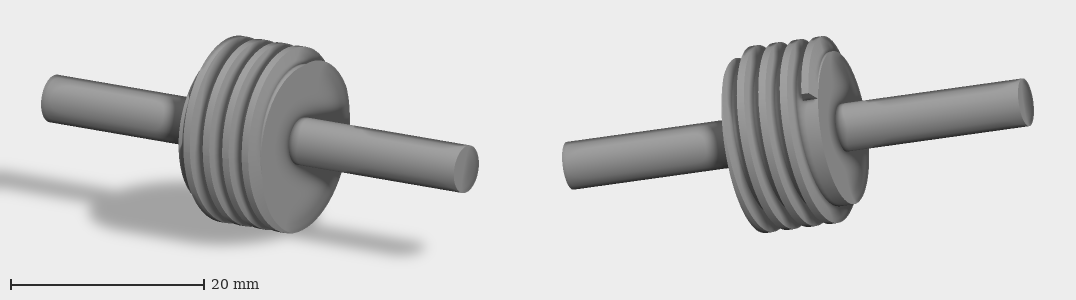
import cadquery as cq
import math

shaft_length = 50.0
shaft_diameter = 5.0
worm_length = 10.0
root_diameter = 16.0

module = 0.75
pressure_angle = math.radians(14.5)
pitch = math.pi * module
addendum = module
dedendum = 1.25 * module
root_radius = root_diameter / 2
pitch_radius = root_radius + dedendum
tip_radius = pitch_radius + addendum
pitch_thickness = pitch / 2
half_turns = 9
root_overlap = 0.1


def half_thickness(radius):
    """Half the thread thickness at a given radius."""
    return pitch_thickness / 2 - (radius - pitch_radius) * math.tan(pressure_angle)


def cylinder(diameter, length):
    """Cylinder along X, centred on the origin."""
    return cq.Workplane("YZ").circle(diameter / 2).extrude(length / 2, both=True)


def make_half_turn():
    """Half a turn of right-hand thread about Z, starting on the +X side."""
    base_radius = root_radius - root_overlap
    base_half = half_thickness(base_radius)
    tip_half = half_thickness(tip_radius)
    path = cq.Wire.makeHelix(pitch, pitch / 2, root_radius)
    return (
        cq.Workplane("XZ")
        .polyline([
            (base_radius, -base_half),
            (tip_radius, -tip_half),
            (tip_radius, tip_half),
            (base_radius, base_half),
        ])
        .close()
        .sweep(cq.Workplane(path), isFrenet=True)
    )


def make_worm():
    """Core with its thread, which starts on the +Y side with its foot at the -X face."""
    start_x = -worm_length / 2 + half_thickness(root_radius)
    start_plane = cq.Plane(origin=(start_x, 0, 0), xDir=(0, 1, 0), normal=(1, 0, 0))
    half_turn = cq.Workplane(make_half_turn().val().moved(cq.Location(start_plane)))

    worm = cylinder(root_diameter, worm_length + 4 * pitch)
    for index in range(half_turns):
        segment = half_turn.rotate((0, 0, 0), (1, 0, 0), 180 * index)
        worm = worm.union(segment.translate((index * pitch / 2, 0, 0)))
    return worm.intersect(cylinder(4 * tip_radius, worm_length))


shaft = cylinder(shaft_diameter, shaft_length)
result = make_worm().union(shaft)